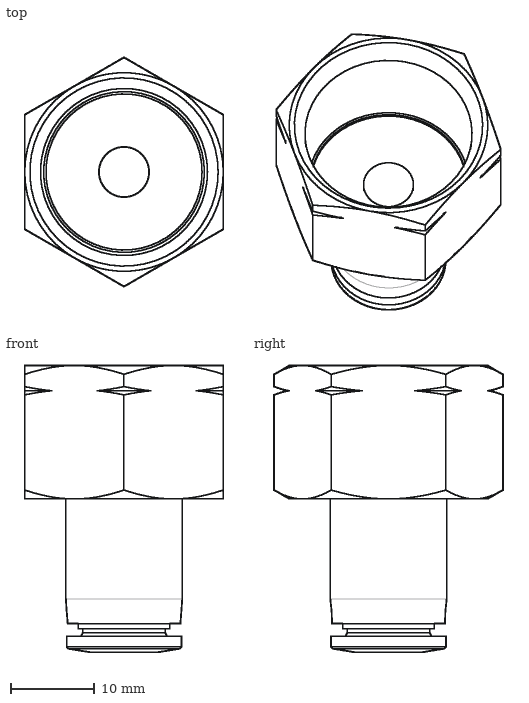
import cadquery as cq
import math

total_height = 34.4
hex_bottom = 18.4
body_taper_top = 6.45
body_bottom = 3.47
collar_bottom = 2.82
neck_flare_top = 2.35
flange_top = 1.95
flange_round_top = 0.7
flange_round_bottom = 0.45

across_flats = 23.8
across_corners = across_flats / math.cos(math.radians(30))
corner_radius = across_corners / 2
chamfer_radius = across_flats / 2
chamfer_angle = 30
chamfer_drop = (corner_radius - chamfer_radius) * math.tan(math.radians(chamfer_angle))

groove_height = total_height - 3.03
groove_root_radius = 12.3
groove_half_angle = 19
groove_overcut = 0.35

body_radius = 14.0 / 2
body_end_radius = 6.78
collar_radius = 11 / 2
neck_radius = 9.95 / 2
neck_flare_radius = 5.15
flange_radius = 13.8 / 2
flange_round_end_radius = 6.7
bottom_face_radius = 7.95 / 2

mouth_radius = 11.3
bore_top_radius = 10.0
bore_bottom_radius = 9.63
floor_radius = 9.35
countersink_depth = 2.15
bore_depth = 14.6
floor_recess = 0.35
through_radius = 6.0 / 2


def revolve_profile(points):
    """Revolve a closed (radius, height) outline about the Z axis."""
    return cq.Workplane("XZ").polyline(points).close().revolve(360, (0, 0), (0, 1))


def hexagon_nut():
    nut = (
        cq.Workplane("XY")
        .workplane(offset=hex_bottom)
        .polygon(6, across_corners)
        .extrude(total_height - hex_bottom)
        .rotate((0, 0, 0), (0, 0, 1), 30)
    )
    envelope = revolve_profile([
        (0, hex_bottom),
        (chamfer_radius, hex_bottom),
        (corner_radius, hex_bottom + chamfer_drop),
        (corner_radius, total_height - chamfer_drop),
        (chamfer_radius, total_height),
        (0, total_height),
    ])
    return nut.intersect(envelope).cut(corner_groove())


def corner_groove():
    outer_radius = corner_radius + groove_overcut
    half_width = (outer_radius - groove_root_radius) * math.tan(math.radians(groove_half_angle))
    return revolve_profile([
        (groove_root_radius, groove_height),
        (outer_radius, groove_height - half_width),
        (outer_radius, groove_height + half_width),
    ])


def stem():
    return revolve_profile([
        (0, 0),
        (bottom_face_radius, 0),
        (flange_round_end_radius, flange_round_bottom),
        (flange_radius, flange_round_top),
        (flange_radius, flange_top),
        (neck_flare_radius, flange_top),
        (neck_radius, neck_flare_top),
        (neck_radius, collar_bottom),
        (collar_radius, collar_bottom),
        (collar_radius, body_bottom),
        (body_end_radius, body_bottom),
        (body_radius, body_taper_top),
        (body_radius, hex_bottom),
        (0, hex_bottom),
    ])


def socket():
    """Countersunk mouth, tapered bore, shallow floor recess and through hole."""
    bore_bottom = total_height - bore_depth
    floor = bore_bottom - floor_recess
    return revolve_profile([
        (0, 0),
        (through_radius, 0),
        (through_radius, floor),
        (floor_radius, floor),
        (floor_radius, bore_bottom),
        (bore_bottom_radius, bore_bottom),
        (bore_top_radius, total_height - countersink_depth),
        (mouth_radius, total_height),
        (0, total_height),
    ])


result = hexagon_nut().union(stem()).cut(socket())